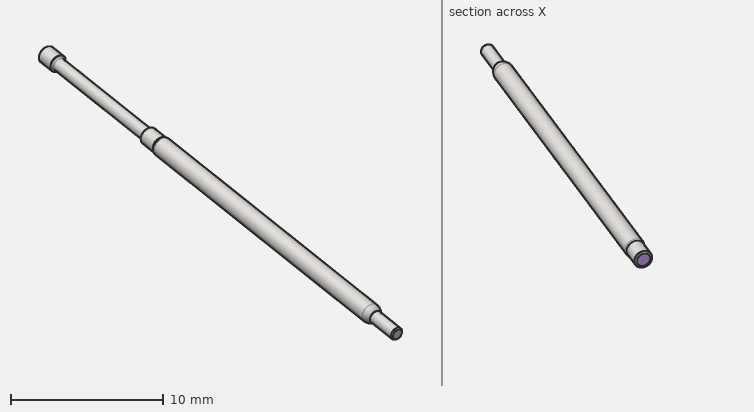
import cadquery as cq
import math

length = 39.62

head_radius = 0.635
head_length = 1.42
dome_height = 0.13
stem_radius = 0.47
root_radius = 0.12

collar_start = 11.6
collar_end = 12.95
collar_radius = 0.64

barrel_radius = 1.39 / 2
barrel_end = 37.18
mouth_round = 0.18
crimp_length = 0.6
crimp_end_radius = 0.48

pin_radius = 0.46
pin_chamfer = 0.1

diagonal = math.sqrt(0.5)


def revolve_about_x(profile):
    """Turn a closed half profile, drawn in XY with Y as the radius, around the X axis."""
    return profile.close().revolve(360, (0, 0, 0), (1, 0, 0))


def plunger():
    """Domed head, stem and collar, with a small fillet at each end of the stem."""
    sphere_radius = (head_radius**2 + dome_height**2) / (2 * dome_height)
    dome_mid_radius = head_radius / 2
    dome_mid_x = sphere_radius - math.sqrt(sphere_radius**2 - dome_mid_radius**2)
    root_mid_offset = root_radius * (1 - diagonal)
    root_mid_radius = stem_radius + root_mid_offset
    profile = (
        cq.Workplane("XY")
        .moveTo(0, 0)
        .threePointArc((dome_mid_x, dome_mid_radius), (dome_height, head_radius))
        .lineTo(head_length, head_radius)
        .lineTo(head_length, stem_radius + root_radius)
        .threePointArc(
            (head_length + root_mid_offset, root_mid_radius),
            (head_length + root_radius, stem_radius),
        )
        .lineTo(collar_start - root_radius, stem_radius)
        .threePointArc(
            (collar_start - root_mid_offset, root_mid_radius),
            (collar_start, stem_radius + root_radius),
        )
        .lineTo(collar_start, collar_radius)
        .lineTo(collar_end, collar_radius)
        .lineTo(collar_end, 0)
    )
    return revolve_about_x(profile)


def barrel():
    """Barrel with a rounded mouth and an arched crimp that starts tangent to its side."""
    crimp_drop = barrel_radius - crimp_end_radius
    crimp_start = barrel_end - crimp_length
    mouth_mid = (
        collar_end + mouth_round * (1 - diagonal),
        barrel_radius - mouth_round * (1 - diagonal),
    )
    profile = (
        cq.Workplane("XY")
        .moveTo(collar_end, 0)
        .lineTo(collar_end, barrel_radius - mouth_round)
        .threePointArc(mouth_mid, (collar_end + mouth_round, barrel_radius))
        .lineTo(crimp_start, barrel_radius)
        .tangentArcPoint((crimp_length, -crimp_drop))
        .lineTo(barrel_end, 0)
    )
    return revolve_about_x(profile)


def tail_pin():
    """Plain pin with a chamfered end."""
    pin = cq.Workplane("YZ", origin=(barrel_end, 0, 0)).circle(pin_radius).extrude(length - barrel_end)
    return pin.faces(">X").edges().chamfer(pin_chamfer)


result = plunger().union(barrel()).union(tail_pin())